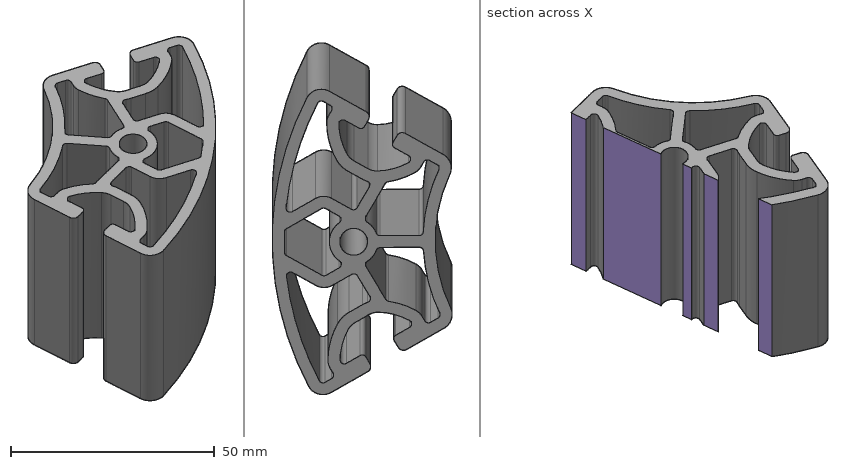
import cadquery as cq
import math


LENGTH = 50.0
HEIGHT = 67.7
SECTOR_ANGLE = 60.0
WALL = 3.0
OUTLINE_FILLET = 4.0
CAVITY_FILLET = 1.0

sin_sector = math.sin(math.radians(SECTOR_ANGLE))
cos_sector = math.cos(math.radians(SECTOR_ANGLE))
tan_bisector = math.tan(math.radians(SECTOR_ANGLE / 2))

corner_along_face = (HEIGHT - OUTLINE_FILLET + OUTLINE_FILLET * cos_sector) / sin_sector
outer_radius = OUTLINE_FILLET + math.hypot(corner_along_face, OUTLINE_FILLET)
inner_radius = outer_radius / 2
middle_radius = (outer_radius + inner_radius) / 2

HUB_RADIUS = 5.95
BORE_RADIUS = 3.4
hub_x = middle_radius * math.cos(math.radians(SECTOR_ANGLE / 2))
hub_y = middle_radius * math.sin(math.radians(SECTOR_ANGLE / 2))

SLOT_GAP = 8.05
LIP_THICKNESS = 4.5
LIP_FACE_FILLET = 1.5
LIP_BACK_FILLET = 1.0
SLOT_WALL_TOP = 15.25
SLOT_WALL_WIDTH = 26.1
SLOT_SIDE_RADIUS = 16.25
SLOT_SIDE_SHIFT = 4.1
SLOT_SIDE_DROP = 2.3
SLOT_FLOOR_FILLET = 4.5
SLOT_SHOULDER_FILLET = 4.0

WEB_OFFSET = 2.0
NEAR_BAR_OFFSET = 3.85
FAR_BAR_OFFSET = 11.2
web_inner_x = hub_x + WEB_OFFSET - WALL / 2
web_outer_x = web_inner_x + WALL
chamber_floor_y = hub_y - NEAR_BAR_OFFSET
chamber_top_y = hub_y + FAR_BAR_OFFSET


def mirrored(body):
    """Mirror image across the bisector."""
    return body.mirror("XZ").rotate((0, 0, 0), (0, 0, 1), SECTOR_ANGLE)


def mirrored_point(x, y):
    return (x * cos_sector + y * sin_sector, x * sin_sector - y * cos_sector)


def cylinder(x, y, radius):
    return cq.Workplane().center(x, y).circle(radius).extrude(LENGTH)


def prism(points):
    return cq.Workplane().polyline(points).close().extrude(LENGTH)


def block(x, width, bottom, top):
    """Block centred on x and reaching from bottom to top along Y."""
    return (
        cq.Workplane()
        .center(x, (bottom + top) / 2)
        .rect(width, top - bottom)
        .extrude(LENGTH)
    )


def rounded(cavity):
    """Round the inside corners of a cavity and keep its bulging corners."""
    section = cavity.faces("<Z").wires().val()
    core = section.offset2D(-CAVITY_FILLET)[0]
    return cq.Workplane(core).toPending().offset2D(CAVITY_FILLET).extrude(LENGTH)


def slant_x(distance, y):
    """X at height y on the line parallel to the upper end face, at a distance below it."""
    return (distance + y * cos_sector) / sin_sector


def polar(radius, angle):
    return (radius * math.cos(math.radians(angle)), radius * math.sin(math.radians(angle)))


def make_outline():
    return (
        cq.Workplane()
        .moveTo(*polar(inner_radius, 0))
        .lineTo(*polar(outer_radius, 0))
        .threePointArc(polar(outer_radius, SECTOR_ANGLE / 2), polar(outer_radius, SECTOR_ANGLE))
        .lineTo(*polar(inner_radius, SECTOR_ANGLE))
        .threePointArc(polar(inner_radius, SECTOR_ANGLE / 2), polar(inner_radius, 0))
        .close()
        .extrude(LENGTH)
        .edges("|Z")
        .fillet(OUTLINE_FILLET)
    )


def slot_form(width, bottom, top, side_radius):
    """Block with two curved sides, the common form of the slot and of its wall."""
    form = block(middle_radius, width, bottom, top)
    for side in (-1, 1):
        arc_x = middle_radius + side * SLOT_SIDE_SHIFT
        form = form.intersect(cylinder(arc_x, -SLOT_SIDE_DROP, side_radius))
    return form


def make_slot_wall():
    side_radius = SLOT_SIDE_RADIUS + WALL
    wall = slot_form(SLOT_WALL_WIDTH, 0, SLOT_WALL_TOP, side_radius)
    wall = wall.faces(">Y").edges("|Z").fillet(SLOT_FLOOR_FILLET + WALL)
    for side in ("<X", ">X"):
        wall = wall.faces(side).edges("|Z").edges(">Y").fillet(SLOT_SHOULDER_FILLET)
    return wall


def make_slot():
    floor = SLOT_WALL_TOP - WALL
    slot = slot_form(SLOT_WALL_WIDTH, LIP_THICKNESS, floor, SLOT_SIDE_RADIUS)
    slot = slot.faces(">Y").edges("|Z").fillet(SLOT_FLOOR_FILLET)
    slot = slot.faces("<Y").edges("|Z").fillet(CAVITY_FILLET)
    slot = slot.union(block(middle_radius, SLOT_GAP, 0, LIP_THICKNESS))

    blank = block(middle_radius, SLOT_WALL_WIDTH, 0, SLOT_WALL_TOP)
    slotted = blank.cut(slot)
    for side in (-1, 1):
        lip_end_x = middle_radius + side * SLOT_GAP / 2
        for edge_y, radius in ((0, LIP_FACE_FILLET), (LIP_THICKNESS, LIP_BACK_FILLET)):
            lip_edge = cq.NearestToPointSelector((lip_end_x, edge_y, LENGTH / 2))
            slotted = slotted.edges("|Z").edges(lip_edge).fillet(radius)
    return blank.cut(slotted)


def make_outer_pocket(slot_wall):
    """Cavity between the outer skin, the near bar, the web and the slot wall."""
    bar_y = chamber_floor_y - WALL
    slant_distance = chamber_top_y + WALL
    bend = (slant_x(slant_distance, bar_y), bar_y)
    pocket = prism(
        [
            (web_outer_x, WALL),
            (web_outer_x, bar_y),
            bend,
            (slant_x(slant_distance, outer_radius), outer_radius),
            (2 * outer_radius, WALL),
        ]
    )
    bend_edge = cq.NearestToPointSelector((*bend, LENGTH / 2))
    pocket = pocket.edges(bend_edge).fillet(CAVITY_FILLET + WALL)
    pocket = pocket.intersect(cylinder(0, 0, outer_radius - WALL))
    return rounded(pocket.cut(slot_wall))


def make_inner_pocket(slot_wall):
    """Cavity between the inner skin, the spoke, the hub, the web and the slot wall."""
    spoke_drop = WALL / 2 / math.cos(math.radians(SECTOR_ANGLE / 2))
    pocket = prism(
        [
            ((WALL + spoke_drop) / tan_bisector, WALL),
            (web_inner_x, WALL),
            (web_inner_x, web_inner_x * tan_bisector - spoke_drop),
        ]
    )
    pocket = pocket.cut(cylinder(0, 0, inner_radius + WALL))
    pocket = pocket.cut(cylinder(hub_x, hub_y, HUB_RADIUS))
    return rounded(pocket.cut(slot_wall))


def make_chamber():
    """Cavity between the hub and the outer skin, symmetric about the bisector."""
    start = (hub_x, chamber_floor_y)
    bend = (slant_x(chamber_top_y, chamber_floor_y), chamber_floor_y)
    tip = (chamber_top_y / tan_bisector, chamber_top_y)
    chamber = prism(
        [(hub_x, hub_y), start, bend, tip, mirrored_point(*bend), mirrored_point(*start)]
    )
    chamber = chamber.intersect(cylinder(0, 0, outer_radius - WALL))
    return rounded(chamber.cut(cylinder(hub_x, hub_y, HUB_RADIUS)))


slot_wall = make_slot_wall()
result = make_outline()
for cavity in (make_slot(), make_outer_pocket(slot_wall), make_inner_pocket(slot_wall)):
    result = result.cut(cavity).cut(mirrored(cavity))
result = result.cut(make_chamber())
result = result.cut(cylinder(hub_x, hub_y, BORE_RADIUS))